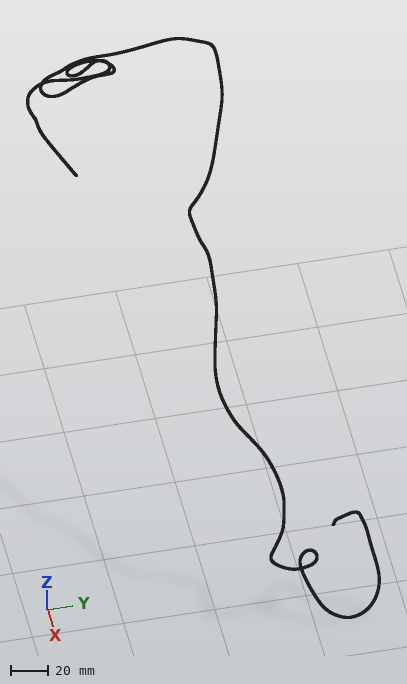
import cadquery as cq

wire_diameter = 0.9

tail = [
    (-35.1, -57.3, 83.2),
    (-29.6, -66.9, 104.0),
    (-23.3, -77.2, 127.0),
    (-18.5, -81.9, 141.0),
    (-15.3, -84.4, 150.8),
]

entry_loop = [
    (-14.2, -85.4, 153.3),
    (-17.5, -87.0, 155.7),
    (-23.0, -86.6, 156.7),
    (-27.0, -85.0, 157.2),
    (-29.0, -81.5, 159.5),
    (-29.0, -77.0, 162.3),
]

upper_inner_turn = [
    (-27.8, -72.5, 164.3),
    (-25.3, -67.0, 166.0),
    (-22.5, -61.0, 168.0),
    (-20.6, -54.0, 170.0),
    (-20.4, -47.0, 171.0),
    (-23.0, -42.3, 170.5),
    (-27.0, -41.0, 170.5),
    (-30.3, -43.5, 171.0),
    (-30.2, -47.5, 171.6),
    (-27.5, -52.0, 171.4),
    (-25.0, -56.0, 170.5),
    (-24.5, -60.0, 169.0),
    (-26.4, -63.3, 167.9),
    (-29.5, -63.7, 167.4),
]

upper_outer_turn = [
    (-32.4, -61.0, 167.4),
    (-33.6, -56.0, 168.3),
    (-33.7, -48.0, 168.7),
    (-32.0, -42.0, 168.0),
    (-28.0, -38.8, 167.6),
    (-23.5, -39.2, 168.7),
    (-20.0, -43.0, 170.7),
    (-18.6, -50.0, 171.8),
    (-17.0, -58.0, 170.7),
    (-15.6, -65.0, 168.0),
    (-15.3, -71.0, 165.2),
    (-17.5, -76.5, 163.5),
    (-22.0, -79.0, 162.7),
    (-26.5, -78.7, 162.6),
    (-29.5, -76.3, 163.4),
    (-31.2, -71.0, 165.1),
    (-32.6, -65.5, 166.2),
]

arched_lead = [
    (-34.9, -60.0, 167.1),
    (-35.9, -51.0, 168.7),
    (-36.0, -40.0, 169.0),
    (-37.5, -32.0, 168.0),
    (-42.0, -21.0, 165.0),
    (-49.0, -9.0, 160.0),
    (-59.0, 5.5, 150.0),
    (-64.6, 17.3, 140.0),
    (-67.9, 23.9, 133.0),
]

vertical_run = [
    (-69.3, 26.5, 126.0),
    (-70.1, 28.9, 110.0),
    (-70.9, 30.5, 92.0),
    (-72.1, 29.3, 73.0),
    (-70.2, 26.3, 52.0),
    (-69.8, 22.0, 30.0),
    (-70.4, 15.5, 15.0),
    (-71.5, 12.7, 7.0),
    (-70.3, 14.0, 0.0),
]

stepped_run = [
    (-65.0, 16.7, -8.0),
    (-60.0, 19.3, -12.0),
    (-49.0, 20.3, -20.0),
    (-34.0, 19.3, -30.0),
    (-28.0, 17.8, -36.0),
    (-22.2, 16.0, -50.0),
    (-17.3, 15.0, -60.0),
    (-9.8, 15.4, -68.0),
    (1.0, 17.2, -71.5),
    (10.0, 20.5, -75.0),
    (20.0, 26.3, -78.5),
    (25.5, 32.0, -85.0),
    (29.2, 36.9, -95.0),
    (33.4, 40.1, -105.0),
    (37.0, 40.7, -109.5),
    (45.0, 39.2, -112.0),
    (55.0, 36.0, -116.5),
]

lower_hook = [
    (59.3, 32.2, -121.0),
    (60.3, 29.5, -126.0),
    (59.2, 29.0, -132.0),
    (57.9, 32.3, -138.0),
    (57.0, 37.5, -142.5),
    (56.5, 43.0, -145.0),
]

small_curl = [
    (56.2, 49.5, -144.6),
    (55.7, 53.5, -143.0),
    (54.5, 55.2, -140.0),
    (53.0, 53.7, -137.0),
    (52.7, 50.3, -136.2),
    (53.5, 47.3, -138.0),
    (55.0, 45.8, -141.0),
    (57.0, 45.9, -144.0),
]

large_turn = [
    (61.5, 47.8, -149.5),
    (66.0, 51.0, -156.0),
    (70.6, 56.0, -163.5),
    (72.0, 62.0, -168.6),
    (72.0, 70.0, -171.8),
    (71.2, 77.0, -170.3),
    (68.7, 83.5, -165.0),
    (65.7, 86.7, -158.0),
    (63.3, 86.8, -148.0),
    (60.0, 84.7, -137.0),
    (57.7, 83.1, -129.0),
    (52.7, 81.8, -123.0),
    (48.5, 80.7, -121.3),
    (45.0, 79.5, -121.0),
    (44.4, 76.0, -121.3),
    (45.7, 70.5, -122.0),
    (46.6, 67.0, -123.0),
    (49.0, 65.3, -123.6),
]

stretches = [
    tail,
    entry_loop,
    upper_inner_turn,
    upper_outer_turn,
    arched_lead,
    vertical_run,
    stepped_run,
    lower_hook,
    small_curl,
    large_turn,
]


def smooth_centreline(stretches):
    """One wire of splines, one per stretch, meeting tangentially where stretches join.

    Each stretch runs on to the first point of the next one. The direction at a joint is
    that of the chord between the points on either side of it.
    """
    points = [cq.Vector(*point) for stretch in stretches for point in stretch]
    last = len(points) - 1
    edges = []
    start = 0
    for stretch in stretches:
        end = min(start + len(stretch), last)
        chords = [points[min(joint + 1, last)] - points[max(joint - 1, 0)] for joint in (start, end)]
        directions = [chord.normalized() for chord in chords]
        edges.append(cq.Edge.makeSpline(points[start : end + 1], tangents=directions, scale=False))
        start = end
    return cq.Wire.assembleEdges(edges)


def round_wire(centreline, diameter):
    """One solid round wire following the centreline."""
    end_plane = cq.Plane(
        origin=centreline.startPoint().toTuple(),
        normal=centreline.tangentAt(0).toTuple(),
    )
    section = cq.Workplane(end_plane).circle(diameter / 2)
    return section.sweep(cq.Workplane(obj=centreline))


result = round_wire(smooth_centreline(stretches), wire_diameter)